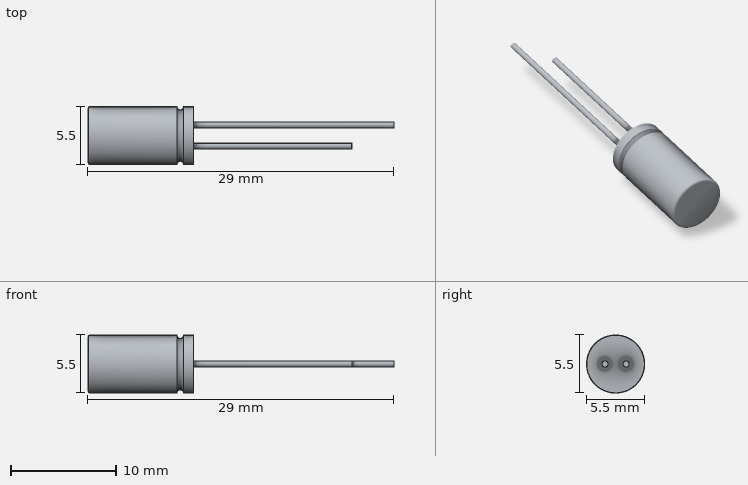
import cadquery as cq

total_length = 29.0
can_length = 10.0
can_diameter = 5.5
can_radius = can_diameter / 2
rim_fillet = 0.2

groove_radius = 0.32
collar_length = 0.95

lead_diameter = 0.58
lead_pitch = 2.0
long_lead_length = total_length - can_length
lead_tip_step = 4.0
short_lead_length = long_lead_length - lead_tip_step

closed_end_x = -total_length / 2
lead_end_x = closed_end_x + can_length


def make_can():
    """Solid of revolution about X with a rounded closed end and a crimp groove."""
    groove_end_x = lead_end_x - collar_length
    groove_middle_x = groove_end_x - groove_radius
    groove_start_x = groove_middle_x - groove_radius
    profile = (
        cq.Workplane("XY")
        .moveTo(closed_end_x, 0)
        .lineTo(closed_end_x, can_radius)
        .lineTo(groove_start_x, can_radius)
        .threePointArc((groove_middle_x, can_radius - groove_radius), (groove_end_x, can_radius))
        .lineTo(lead_end_x, can_radius)
        .lineTo(lead_end_x, 0)
        .close()
    )
    can = profile.revolve(360, (0, 0, 0), (1, 0, 0))
    return can.faces("<X").edges().fillet(rim_fillet)


def make_lead(y, length):
    """Straight round wire that starts on the flat end of the can."""
    return (
        cq.Workplane("YZ", origin=(lead_end_x, y, 0))
        .circle(lead_diameter / 2)
        .extrude(length)
    )


can = make_can()
lead_layout = [
    (lead_pitch / 2, long_lead_length),
    (-lead_pitch / 2, short_lead_length),
]
leads = [make_lead(y, length) for y, length in lead_layout]

result = cq.Compound.makeCompound([can.val(), *[lead.val() for lead in leads]])